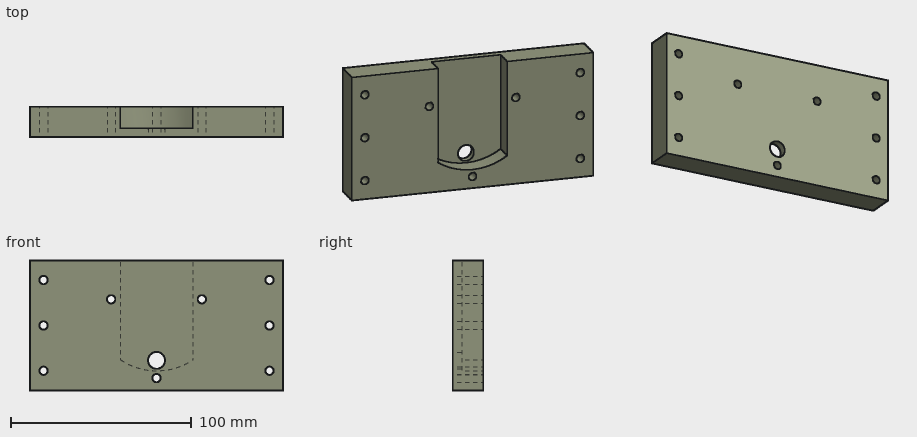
import cadquery as cq
import math

length = 140.0
thickness = 17.0
height = 72.0
back_y = thickness / 2

slot_width = 40.0
slot_depth = 12.0
slot_end_radius = 36.0
slot_bottom_z = -25.0

screw_diameter = 4.5
side_hole_x = 62.5
side_hole_pitch = 25.0
upper_hole_x = 25.0
upper_hole_z = 14.4
lower_hole_z = -29.1
large_diameter = 9.2
large_hole_z = -19.3


def through_holes(points, diameter):
    """Cylinders along Y through the plate at the given (x, z) points."""
    return (
        cq.Workplane("XZ")
        .pushPoints(points)
        .circle(diameter / 2)
        .extrude(thickness, both=True)
    )


def open_slot():
    """Slot with straight sides and an arc lower end, running up to the top edge."""
    top_z = height / 2
    half_width = slot_width / 2
    arc_rise = slot_end_radius - math.sqrt(slot_end_radius**2 - half_width**2)
    arc_end_z = slot_bottom_z + arc_rise
    return (
        cq.Workplane("XZ", origin=(0, back_y, 0))
        .moveTo(-half_width, top_z)
        .lineTo(-half_width, arc_end_z)
        .threePointArc((0, slot_bottom_z), (half_width, arc_end_z))
        .lineTo(half_width, top_z)
        .close()
        .extrude(slot_depth)
    )


screw_points = [(0, lower_hole_z)]
for side in (-1, 1):
    screw_points.append((side * upper_hole_x, upper_hole_z))
    for row in (-1, 0, 1):
        screw_points.append((side * side_hole_x, row * side_hole_pitch))

result = (
    cq.Workplane("XY")
    .box(length, thickness, height)
    .cut(open_slot())
    .cut(through_holes(screw_points, screw_diameter))
    .cut(through_holes([(0, large_hole_z)], large_diameter))
)